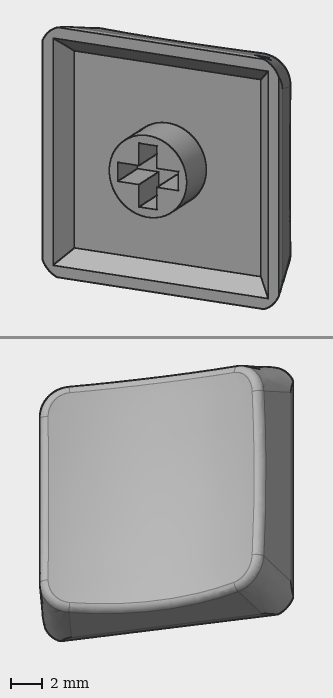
import cadquery as cq
import math

cap_width = 16.5
rim_band = 0.5
wall_draft = 16
corner_radius = 2.0
blank_height = 4.95

dish_floor = 2.03
dish_radius_x = 17.32
dish_radius_z = 64.35
dish_edge_radius = 0.5

pocket_mouth = 15.0
pocket_floor = 13.0
pocket_depth = 1.0

stem_diameter = 5.4
stem_projection = 1.8
cross_length = 4.2
cross_width = 1.25


def square_frustum(start_width, end_width, height):
    """Square frustum growing from Y = 0 toward +Y."""
    return (
        cq.Workplane("XZ")
        .rect(start_width, start_width)
        .workplane(offset=-height)
        .rect(end_width, end_width)
        .loft(ruled=True)
    )


def dish_cutter():
    """Arc across X, revolved about a high axis parallel to X."""
    half_width = 0.7 * cap_width
    edge_y = dish_floor + dish_radius_x - math.sqrt(dish_radius_x**2 - half_width**2)
    top_y = edge_y + blank_height
    axis_y = dish_floor + dish_radius_z
    sweep_angle = 2 * math.degrees(math.asin(half_width / dish_radius_z))
    profile = (
        cq.Workplane("XY")
        .moveTo(-half_width, edge_y)
        .threePointArc((0, dish_floor), (half_width, edge_y))
        .lineTo(half_width, top_y)
        .lineTo(-half_width, top_y)
        .close()
    )
    axis_start = (0, axis_y, 0)
    cutter = profile.revolve(sweep_angle, axis_start, (1, axis_y, 0))
    return cutter.rotate(axis_start, (1, axis_y, 0), -sweep_angle / 2)


def cap_shell():
    """Drafted, dished cap with its rim trimmed square and a tapered pocket."""
    draft_slope = math.tan(math.radians(wall_draft))
    base_width = cap_width + 2 * rim_band * draft_slope
    top_width = base_width - 2 * blank_height * draft_slope
    cap = square_frustum(base_width, top_width, blank_height)
    cap = cap.edges("not(#Y or |X or |Z)").fillet(corner_radius)
    cap = cap.cut(dish_cutter())
    cap = cap.faces(">Y").edges().fillet(dish_edge_radius)
    cap = cap.intersect(square_frustum(cap_width, cap_width, blank_height))
    return cap.cut(square_frustum(pocket_mouth, pocket_floor, pocket_depth))


def stem():
    """Round stem from the pocket floor to beyond the rim, with a cross socket."""
    length = stem_projection + pocket_depth
    base = cq.Workplane("XZ", origin=(0, pocket_depth, 0))
    post = base.circle(stem_diameter / 2).extrude(length)
    for width, height in ((cross_length, cross_width), (cross_width, cross_length)):
        post = post.cut(base.rect(width, height).extrude(length))
    return post


result = cap_shell().union(stem())